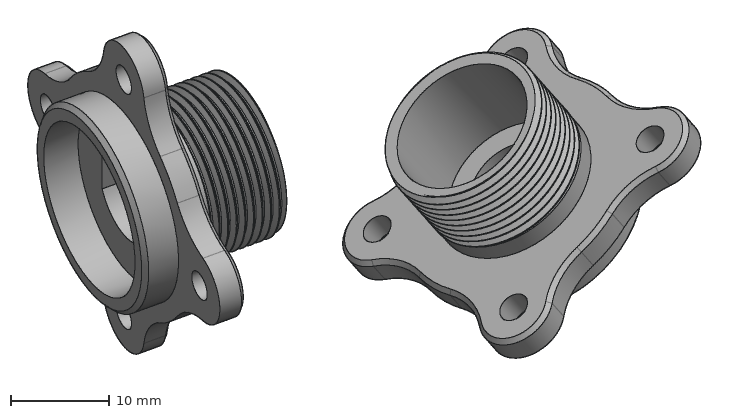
import cadquery as cq
import math

total_length = 18.0
lip_length = 4.0
flange_thickness = 3.0
neck_length = 2.1
lip_chamfer = 0.5
flange_chamfer = 0.48

span = 39.97
bolt_radius = 15.75
bolt_hole_diameter = 3.2
lobe_count = 4
body_radius = 13.45
blend_radius = 8.0
lobe_radius = span / 2 - bolt_radius

lip_diameter = 22.8
recess_diameter = 19.0
recess_depth = 4.0
neck_diameter = 17.85
rear_bore_diameter = 15.0

opening_diameter = 10.07
opening_width = 9.0
web_thickness = 3.0

thread_pitch = 1.0
thread_crest_diameter = 18.0
thread_root_diameter = 16.75
ridge_base_width = 0.9
ridge_crest_width = 0.1
ridge_embed = 0.08

lip_start = -total_length / 2
flange_start = lip_start + lip_length
neck_start = flange_start + flange_thickness
thread_start = neck_start + neck_length
thread_end = total_length / 2
recess_floor = lip_start + recess_depth
web_end = recess_floor + web_thickness


def plane_at(y):
    """XZ sketch plane at station y, with its normal along +Y and local y along -Z."""
    return cq.Workplane(cq.Plane(origin=(0, y, 0), xDir=(1, 0, 0), normal=(0, 1, 0)))


def cylinder(diameter, start, end):
    return plane_at(start).circle(diameter / 2).extrude(end - start)


def polar(radius, angle):
    return (radius * math.cos(angle), radius * math.sin(angle))


def flange():
    """Round body with lobes, joined by tangent concave arcs."""
    centre_radius = body_radius + blend_radius
    lobe_to_blend = lobe_radius + blend_radius
    cosine = (centre_radius**2 + bolt_radius**2 - lobe_to_blend**2) / (2 * centre_radius * bolt_radius)
    blend_angle = math.acos(cosine)
    blend_x, blend_y = polar(centre_radius, blend_angle)
    lobe_angle = math.atan2(blend_y, blend_x - bolt_radius)
    lobe_dx, lobe_dy = polar(lobe_radius, lobe_angle)
    to_body = blend_angle - math.pi
    to_lobe = lobe_angle - math.pi
    mid_dx, mid_dy = polar(blend_radius, (to_body + to_lobe) / 2)
    lobe_x = bolt_radius + lobe_dx
    middle = (blend_x + mid_dx, blend_y + mid_dy)
    body_end = polar(body_radius, blend_angle)
    step = 2 * math.pi / lobe_count

    def turned(point, angle):
        return polar(math.hypot(*point), math.atan2(point[1], point[0]) + angle)

    def mirrored(point):
        return (point[0], -point[1])

    outline = plane_at(flange_start).moveTo(*mirrored(body_end))
    for index in range(lobe_count):
        angle = index * step
        next_body = turned(mirrored(body_end), angle + step)
        outline = (
            outline.threePointArc(turned(mirrored(middle), angle), turned((lobe_x, -lobe_dy), angle))
            .threePointArc(polar(span / 2, angle), turned((lobe_x, lobe_dy), angle))
            .threePointArc(turned(middle, angle), turned(body_end, angle))
            .threePointArc(polar(body_radius, angle + step / 2), next_body)
        )
    plate = outline.close().extrude(flange_thickness).faces(">Y").chamfer(flange_chamfer)
    holes = (
        plane_at(flange_start)
        .polarArray(bolt_radius, 0, 360, lobe_count)
        .circle(bolt_hole_diameter / 2)
        .extrude(flange_thickness)
    )
    return plate.cut(holes)


def thread():
    """Threaded core: a helical ridge trimmed flush at both ends."""
    core = cylinder(thread_root_diameter, thread_start, thread_end)
    length = thread_end - thread_start
    base = thread_root_diameter / 2 - ridge_embed
    crest = thread_crest_diameter / 2
    helix = cq.Wire.makeHelix(thread_pitch, length + 2 * thread_pitch, base)
    ridge = (
        cq.Workplane("XZ")
        .polyline([
            (base, -ridge_base_width / 2),
            (crest, -ridge_crest_width / 2),
            (crest, ridge_crest_width / 2),
            (base, ridge_base_width / 2),
        ])
        .close()
        .sweep(cq.Workplane(helix), isFrenet=True)
        .rotate((0, 0, 0), (1, 0, 0), -90)
        .translate((0, thread_start - thread_pitch, 0))
    )
    trim = cylinder(thread_crest_diameter + thread_pitch, thread_start, thread_end)
    return core.union(ridge.intersect(trim))


def double_d_opening():
    round_hole = cylinder(opening_diameter, recess_floor, web_end)
    slab = plane_at(recess_floor).rect(opening_width, opening_diameter).extrude(web_thickness)
    return round_hole.intersect(slab)


lip = cylinder(lip_diameter, lip_start, flange_start).faces("<Y").chamfer(lip_chamfer)
neck = cylinder(neck_diameter, neck_start, thread_start)

result = (
    flange()
    .union(lip)
    .union(neck)
    .union(thread())
    .cut(cylinder(recess_diameter, lip_start, recess_floor))
    .cut(double_d_opening())
    .cut(cylinder(rear_bore_diameter, web_end, thread_end))
)